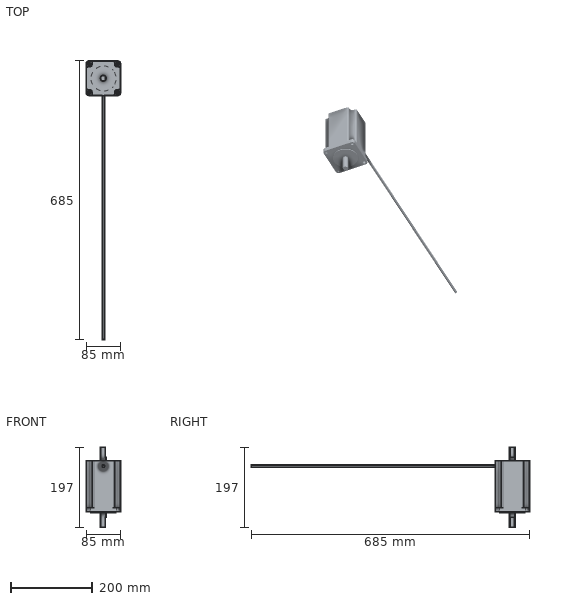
import cadquery as cq
import math

body_width = 85.0
half_width = body_width / 2
motor_length = 126.0
flange_thickness = 10.0
total_height = 197.0
overall_depth = 685.0

hole_offset = 35.0
hole_diameter = 6.0
relief_radius = 7.2
relief_lip_radius = 3.8
flange_corner_radius = half_width - hole_offset

pilot_diameter = 61.5
pilot_height = 2.0
shaft_diameter = 14.0
rear_shaft_length = 33.0
front_shaft_length = total_height - motor_length - rear_shaft_length
flat_length = 25.0
flat_offset = 5.3

cable_diameter = 6.0
cable_length = overall_depth - body_width
cable_drop = 14.0


def make_relief():
    """Corner cutter: an arc around the hole, opening to both sides through rounded lips."""
    wall = hole_offset - relief_radius
    lip_start = half_width - relief_lip_radius
    lip_end = wall - relief_lip_radius
    lip_mid_in = lip_end + relief_lip_radius * math.sin(math.pi / 4)
    lip_mid_out = lip_start + relief_lip_radius * math.cos(math.pi / 4)
    arc_mid = hole_offset - relief_radius * math.cos(math.pi / 4)
    return (
        cq.Workplane("XY", origin=(0, 0, flange_thickness))
        .moveTo(half_width, half_width)
        .lineTo(lip_end, half_width)
        .threePointArc((lip_mid_in, lip_mid_out), (wall, lip_start))
        .lineTo(wall, hole_offset)
        .threePointArc((arc_mid, arc_mid), (hole_offset, wall))
        .lineTo(lip_start, wall)
        .threePointArc((lip_mid_out, lip_mid_in), (half_width, lip_end))
        .close()
        .extrude(motor_length - flange_thickness)
    )


def make_body():
    """Square flange and housing with relieved corners and through mounting holes."""
    flange = (
        cq.Workplane("XY")
        .rect(body_width, body_width)
        .extrude(flange_thickness)
        .edges("|Z")
        .fillet(flange_corner_radius)
    )
    housing = (
        cq.Workplane("XY", origin=(0, 0, flange_thickness))
        .rect(body_width, body_width)
        .extrude(motor_length - flange_thickness)
    )
    relief = make_relief()
    for corner in range(4):
        housing = housing.cut(relief.rotate((0, 0, 0), (0, 0, 1), 90 * corner))
    holes = (
        cq.Workplane("XY")
        .rect(2 * hole_offset, 2 * hole_offset, forConstruction=True)
        .vertices()
        .circle(hole_diameter / 2)
        .extrude(flange_thickness)
    )
    return flange.union(housing).cut(holes)


def make_shaft():
    """Shaft through the motor, with a flat on the +X side of each end."""
    shaft = (
        cq.Workplane("XY", origin=(0, 0, -front_shaft_length))
        .circle(shaft_diameter / 2)
        .extrude(total_height)
    )
    rear_flat_start = motor_length + rear_shaft_length - flat_length
    for flat_start in (-front_shaft_length, rear_flat_start):
        flat = cq.Workplane("XY").box(
            shaft_diameter, shaft_diameter, flat_length, centered=(False, True, False)
        )
        shaft = shaft.cut(flat.translate((flat_offset, 0, flat_start)))
    return shaft


pilot = cq.Workplane("XY").circle(pilot_diameter / 2).extrude(-pilot_height)

cable = (
    cq.Workplane("XZ", origin=(0, 0, motor_length - cable_drop))
    .circle(cable_diameter / 2)
    .extrude(half_width + cable_length)
)

result = make_body().union(pilot).union(make_shaft()).union(cable)